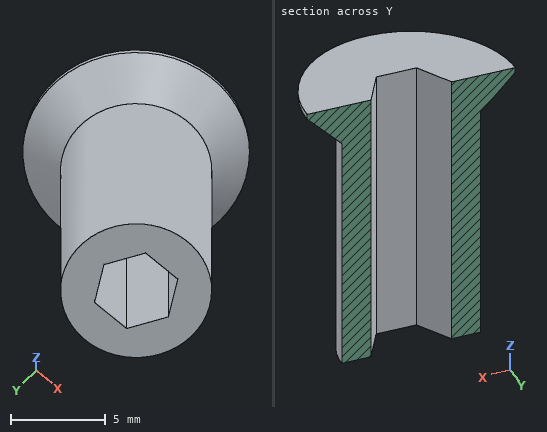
import cadquery as cq
import math

total_height = 16.0
head_diameter = 12.0
shank_diameter = 8.0
rim_height = 0.32
hex_across_flats = 4.0

head_radius = head_diameter / 2
shank_radius = shank_diameter / 2
cone_height = head_radius - shank_radius
rim_bottom = total_height - rim_height
shank_top = rim_bottom - cone_height
hex_across_corners = hex_across_flats / math.cos(math.pi / 6)


def make_body():
    """Revolve the half profile of shank, conical head and rim about Z."""
    return (
        cq.Workplane("XZ")
        .lineTo(shank_radius, 0)
        .lineTo(shank_radius, shank_top)
        .lineTo(head_radius, rim_bottom)
        .lineTo(head_radius, total_height)
        .lineTo(0, total_height)
        .close()
        .revolve(360, (0, 0, 0), (0, 1, 0))
    )


def make_hex_hole():
    """Hexagonal prism with two corners on the X axis."""
    return cq.Workplane("XY").polygon(6, hex_across_corners).extrude(total_height)


result = make_body().cut(make_hex_hole())